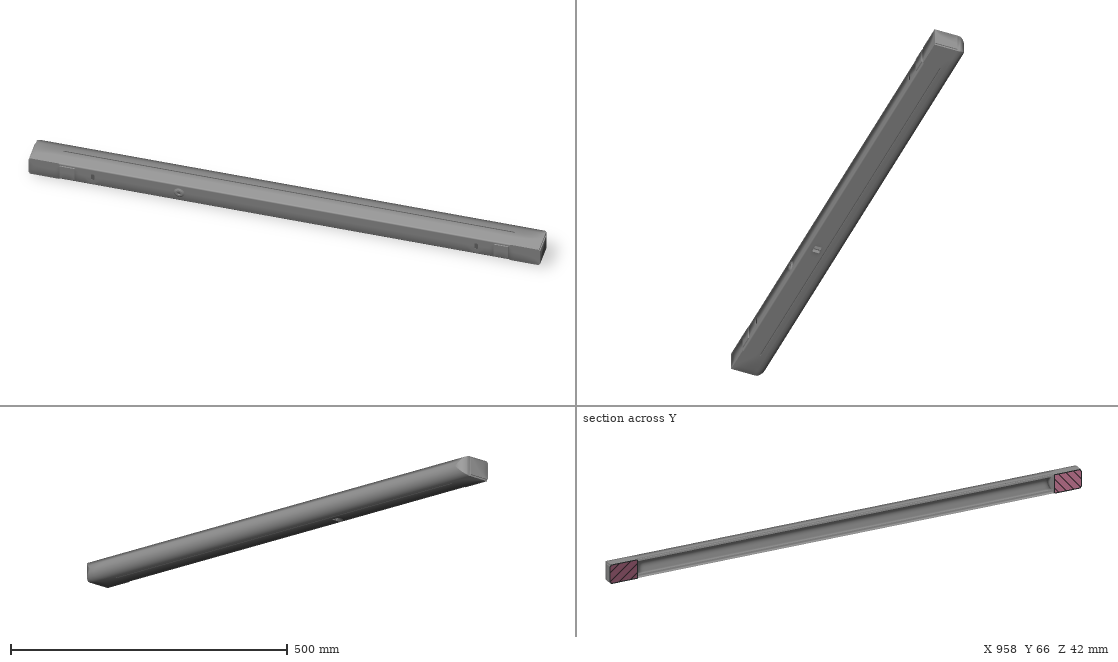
import cadquery as cq
import math

total_length = 958.0
body_height = 37.0
body_depth = 64.0
cap_length = 57.0

end_plate_thickness = 2.0
end_plate_inset = 3.0
end_plate_depth = 44.0
cap_corner_radius = 19.0
cap_corner_start = 51.0

lens_bulge = 18.0
lens_wall = 4.0

housing_length = total_length - 2 * cap_length
housing_depth = 35.0
housing_radius = 2.7
housing_wall = 1.0
lip_width = 6.0

pad_width = 27.0
pad_height = 1.0
long_pad_length = 113.0
long_pad_from_end = 479.0
short_pad_length = 27.0
short_pad_from_end = 159.0

foot_size = 28.0
foot_height = 2.0
foot_gap = 2.0

slot_width = 6.5
slot_length = 14.0
slot_from_end = 120.0

grommet_from_end = 282.0
grommet_base_diameter = 20.0
grommet_top_diameter = 13.0
grommet_hole_diameter = 7.4
grommet_height = foot_height

switch_from_end = 353.0
switch_length = 16.0
switch_width = 12.0
switch_peak_from_edge = 5.0
switch_peak_height = 5.0
switch_valley_height = 1.0
switch_low_height = 2.4

half_length = total_length / 2
middle_height = body_height / 2
joint_x = half_length - cap_length


def on_back(x):
    """Workplane on the back wall at x and mid height, facing away from the lamp."""
    plane = cq.Plane(origin=(x, 0, middle_height), xDir=(1, 0, 0), normal=(0, -1, 0))
    return cq.Workplane(plane)


def bulged_bar(start_x, length, back_y, inset=0):
    """Bar along X from back_y to the round front of the lens, drawn in by inset at top, bottom and front."""
    shoulder_y = body_depth - lens_bulge
    return (
        cq.Workplane("YZ", origin=(start_x, 0, 0))
        .moveTo(back_y, inset)
        .lineTo(shoulder_y, inset)
        .threePointArc((body_depth - inset, middle_height), (shoulder_y, body_height - inset))
        .lineTo(back_y, body_height - inset)
        .close()
        .extrude(length)
    )


def make_foot(side):
    x = side * (joint_x - foot_gap - foot_size / 2)
    return on_back(x).rect(foot_size, foot_size).extrude(foot_height)


def make_grommet():
    base = on_back(grommet_from_end - half_length).circle(grommet_base_diameter / 2)
    return base.workplane(offset=grommet_height).circle(grommet_top_diameter / 2).loft()


def make_switch():
    start = switch_from_end - half_length
    return (
        cq.Workplane("XZ", origin=(start, (housing_depth + switch_width) / 2, 0))
        .polyline(
            [
                (0, 0),
                (switch_peak_from_edge, -switch_peak_height),
                (switch_length / 2, -switch_valley_height),
                (switch_length - switch_peak_from_edge, -switch_low_height),
                (switch_length, 0),
            ]
        )
        .close()
        .extrude(switch_width)
    )


def make_pad(from_end, length):
    back_wall = on_back(from_end - half_length).workplane(offset=-housing_wall)
    return back_wall.rect(length, pad_width).extrude(-pad_height)


def rounded_bar(inset):
    """Bar as long as the housing, its section drawn in by inset on all four sides."""
    return (
        cq.Workplane("XY", origin=(0, inset, inset))
        .box(housing_length, housing_depth - 2 * inset, body_height - 2 * inset, centered=(True, False, False))
        .edges("|X")
        .fillet(housing_radius - inset)
    )


def make_channel():
    mouth = cq.Workplane("XY", origin=(0, housing_depth / 2, lip_width)).box(
        housing_length, housing_depth, body_height - 2 * lip_width, centered=(True, False, False)
    )
    return rounded_bar(0).cut(rounded_bar(housing_wall)).cut(mouth)


def make_housing():
    housing = make_channel().union(make_switch())
    for side in (-1, 1):
        slot = on_back(side * (half_length - slot_from_end)).slot2D(slot_length, slot_width, 90)
        housing = housing.union(make_foot(side)).cut(slot.extrude(-housing_wall))
    hole = on_back(grommet_from_end - half_length).circle(grommet_hole_diameter / 2)
    housing = housing.union(make_grommet()).cut(hole.extrude(housing_wall + grommet_height, both=True))
    housing = housing.union(make_pad(long_pad_from_end, long_pad_length))
    return housing.union(make_pad(short_pad_from_end, short_pad_length))


def make_lens():
    outside = bulged_bar(-joint_x, housing_length, housing_depth)
    return outside.cut(bulged_bar(-joint_x, housing_length, housing_depth, lens_wall))


def cap_outline(length):
    """Cap seen from above, its round outer corner meeting the end at an angle and the front smoothly."""
    corner_centre_y = body_depth - cap_corner_radius
    start_angle = math.asin((cap_corner_start - corner_centre_y) / cap_corner_radius)
    middle_angle = (start_angle + math.pi / 2) / 2
    corner_centre_x = joint_x + length - cap_corner_radius * math.cos(start_angle)
    middle_of_corner = (
        corner_centre_x + cap_corner_radius * math.cos(middle_angle),
        corner_centre_y + cap_corner_radius * math.sin(middle_angle),
    )
    return (
        cq.Workplane("XY")
        .moveTo(joint_x, 0)
        .lineTo(joint_x + length, 0)
        .lineTo(joint_x + length, cap_corner_start)
        .threePointArc(middle_of_corner, (corner_centre_x, body_depth))
        .lineTo(joint_x, body_depth)
        .close()
        .extrude(body_height)
    )


def make_cap(side):
    length = cap_length - end_plate_thickness
    cap = bulged_bar(joint_x, length, 0).intersect(cap_outline(length))
    plate = cq.Workplane("XY", origin=(joint_x + length, 0, end_plate_inset)).box(
        end_plate_thickness,
        end_plate_depth,
        body_height - 2 * end_plate_inset,
        centered=False,
    )
    cap = cap.union(plate)
    return cap if side > 0 else cap.mirror("YZ")


housing = make_housing()
lens = make_lens()
caps = [make_cap(side) for side in (-1, 1)]

result = cq.Compound.makeCompound([housing.val(), lens.val(), *[cap.val() for cap in caps]])